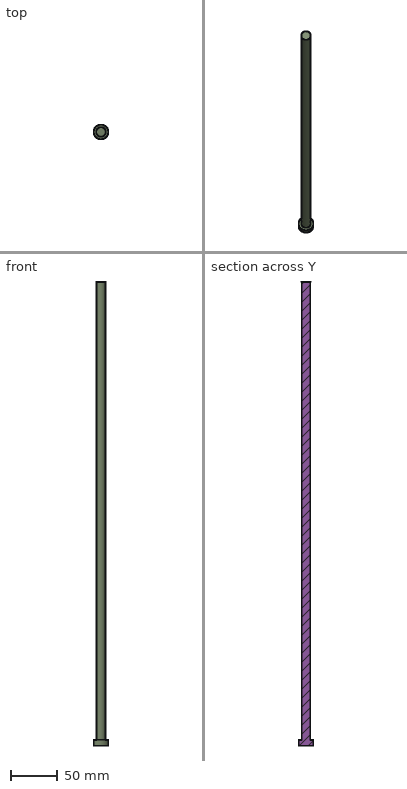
import cadquery as cq

overall_length = 500.0
head_diameter = 16.0
head_height = 6.5
shaft_diameter = 10.2


def make_head():
    return cq.Workplane("XY").circle(head_diameter / 2).extrude(head_height)


def make_shaft():
    return cq.Workplane("XY").circle(shaft_diameter / 2).extrude(overall_length)


result = make_head().union(make_shaft())